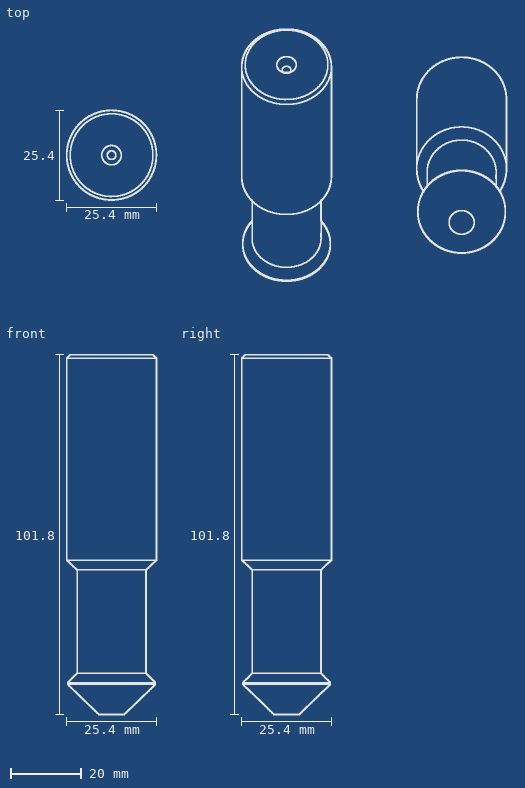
import cadquery as cq

total_length = 101.8
shank_radius = 12.7
neck_radius = 9.8

shank_bottom = 43.7
shoulder_height = 2.7
top_chamfer = 1.0

rim_radius = 12.4
rim_height = 0.5
tip_radius = 3.6
rim_bottom = 8.5
rim_top = rim_bottom + rim_height
head_top = rim_top + rim_radius - neck_radius

center_radius = 2.7
pilot_radius = 1.2
countersink_depth = 2.6
pilot_depth = 3.1
pilot_point_depth = 0.7


def revolve_profile(points):
    """Turn a closed (radius, height) profile about the Z axis."""
    return cq.Workplane("XZ").polyline(points).close().revolve(360, (0, 0, 0), (0, 1, 0))


def make_center_hole():
    """Return the stepped conical volume removed from the top of the shank."""
    countersink_bottom = total_length - countersink_depth
    pilot_bottom = countersink_bottom - pilot_depth
    return revolve_profile([
        (0, total_length),
        (center_radius, total_length),
        (pilot_radius, countersink_bottom),
        (pilot_radius, pilot_bottom),
        (0, pilot_bottom - pilot_point_depth),
    ])


def make_shank():
    """Chamfered shank with a conical shoulder down to the neck."""
    shoulder_bottom = shank_bottom - shoulder_height
    body = revolve_profile([
        (0, head_top),
        (neck_radius, head_top),
        (neck_radius, shoulder_bottom),
        (shank_radius, shank_bottom),
        (shank_radius, total_length - top_chamfer),
        (shank_radius - top_chamfer, total_length),
        (0, total_length),
    ])
    return body.cut(make_center_hole())


def make_head():
    """Double-cone head with a flat tip, seated against the end of the neck."""
    return revolve_profile([
        (0, 0),
        (tip_radius, 0),
        (rim_radius, rim_bottom),
        (rim_radius, rim_top),
        (neck_radius, head_top),
        (0, head_top),
    ])


shank = make_shank()
head = make_head()
result = cq.Compound.makeCompound([shank.val(), head.val()])